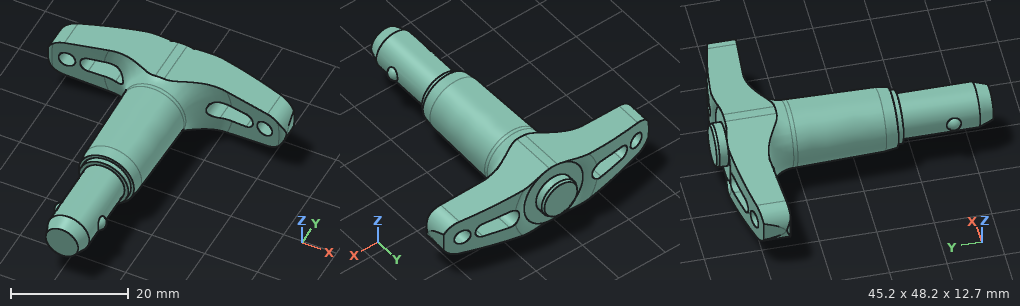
import cadquery as cq
import math

total_length = 48.25

pin_radius = 3.95
tip_radius = 3.1
tip_length = 2.5
ball_radius = 1.35
ball_reach = 4.85
ball_y = 7.1

collar_radius = 4.7
collar_y = 15.95
sleeve_end_radius = 5.25
sleeve_end_y = 17.0
sleeve_small_radius = 5.55
sleeve_small_y = 19.2
sleeve_large_radius = 5.9
sleeve_large_y = 34.7

neck_y = 35.4
flare_mid = (6.8, 38.1)
flare_end = (12.2, 40.45)
handle_radius = 22.6
underside_rim_radius = 22.75
underside_rim_y = 39.35
rim_round = 0.95
rim_top = (22.15, 44.2)
crown_mid = (15.55, 45.8)
crown_start = (8.95, 46.9)
crown_shoulder = (7.4, 46.7)
seat_y = 46.25

hub_diameter = 12.7
hub_radius = hub_diameter / 2
end_radius = 3.85
end_x = handle_radius - end_radius

hole_radius = 1.5
slot_inner_radius = 1.9
slot_outer_radius = 1.5
slot_inner_x = 9.75
slot_outer_x = 14.85

button_diameter = 7.6
button_radius = button_diameter / 2
button_chamfer = (0.25, 0.5)


def tapered_outline(x_large, r_large, x_small, r_small):
    """Wire around two circles on the X axis, joined by their common tangents."""
    sine = (r_large - r_small) / (x_small - x_large)
    cosine = math.sqrt(1 - sine**2)
    large_tangent = (x_large + r_large * sine, r_large * cosine)
    small_tangent = (x_small + r_small * sine, r_small * cosine)
    return (
        cq.Workplane("XZ")
        .moveTo(*large_tangent)
        .lineTo(*small_tangent)
        .threePointArc((x_small + r_small, 0), (small_tangent[0], -small_tangent[1]))
        .lineTo(large_tangent[0], -large_tangent[1])
        .threePointArc((x_large - r_large, 0), large_tangent)
        .close()
    )


def both_sides(right_half):
    return right_half.union(right_half.mirror("YZ"))


def turned(profile):
    return profile.close().revolve(360, (0, 0, 0), (0, 1, 0))


def make_shank():
    """Pin, collar and sleeve, up to the underside of the handle."""
    return turned(
        cq.Workplane("XY")
        .lineTo(tip_radius, 0)
        .lineTo(pin_radius, tip_length)
        .lineTo(pin_radius, collar_y)
        .lineTo(collar_radius, collar_y)
        .lineTo(collar_radius, sleeve_end_y)
        .lineTo(sleeve_end_radius, sleeve_end_y)
        .lineTo(sleeve_small_radius, sleeve_small_y)
        .lineTo(sleeve_large_radius, sleeve_large_y)
        .lineTo(sleeve_large_radius, neck_y)
        .lineTo(0, neck_y)
    )


def make_handle():
    """Turned mushroom shape, trimmed to the two-armed outline and pierced."""
    mushroom = turned(
        cq.Workplane("XY")
        .moveTo(0, neck_y)
        .lineTo(sleeve_large_radius, neck_y)
        .threePointArc(flare_mid, flare_end)
        .lineTo(underside_rim_radius, underside_rim_y)
        .lineTo(*rim_top)
        .threePointArc(crown_mid, crown_start)
        .threePointArc(crown_shoulder, (hub_radius, seat_y))
        .lineTo(0, seat_y)
    )
    slab_half = rim_round / 2
    lower_rim = cq.selectors.BoxSelector(
        (-total_length, underside_rim_y - slab_half, -total_length),
        (total_length, underside_rim_y + slab_half, total_length),
        boundingbox=True,
    )
    mushroom = mushroom.edges("%CIRCLE").edges(lower_rim).fillet(rim_round)
    arm = tapered_outline(0, hub_radius, end_x, end_radius).extrude(-total_length)
    slot = tapered_outline(
        slot_inner_x, slot_inner_radius, slot_outer_x, slot_outer_radius
    ).extrude(-total_length)
    hole = cq.Workplane("XZ").center(end_x, 0).circle(hole_radius).extrude(-total_length)
    return mushroom.intersect(both_sides(arm)).cut(both_sides(slot.union(hole)))


def make_button():
    chamfer_width, chamfer_height = button_chamfer
    return turned(
        cq.Workplane("XY")
        .moveTo(0, seat_y)
        .lineTo(button_radius, seat_y)
        .lineTo(button_radius, total_length - chamfer_height)
        .lineTo(button_radius - chamfer_width, total_length)
        .lineTo(0, total_length)
    )


def make_balls():
    ball = cq.Workplane("XY").sphere(ball_radius)
    return both_sides(ball.translate((ball_reach - ball_radius, ball_y, 0)))


result = make_shank().union(make_handle()).union(make_button()).union(make_balls())